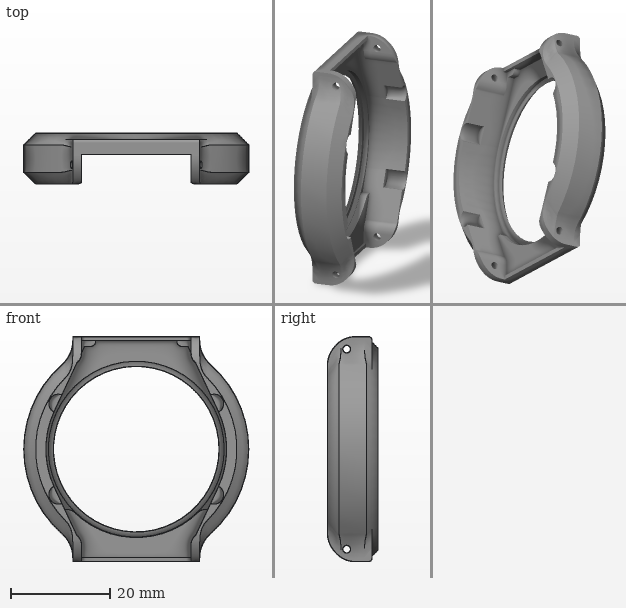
import cadquery as cq
import math


CASE_RADIUS = 22.73
CASE_DEPTH = 10.29
CASE_CHAMFER = 2.4
CHAMFER_ANGLE = 45

LUG_OUTER_X = 12.82
LUG_INNER_X = 11.05
LUG_BACK_DEPTH = 1.23
LUG_END_Z = CASE_RADIUS
LUG_BACK_ROUND = 0.75
LUG_TIP_ROUND = 5.1
LUG_FRONT_ROUND = 5.85
LUG_FRONT_END_Z = 16.8
LUG_RIM_FILLET = 6.5
LUG_CHAMFER_FILLET = 2.65
PIN_HOLE_DIAMETER = 1.5
PIN_HOLE_DEPTH = 6.37
PIN_HOLE_Z = 20.2

WINDOW_DIAMETER = 33.4
GLASS_DIAMETER = 35.5
GLASS_SEAT_DEPTH = 1.1
WINDOW_BACK_CHAMFER = 0.95

CAVITY_RADIUS = 18.25
WALL_ANGLE = math.radians(25.1)
LUG_ROOT_Z = 19.4
LUG_ROOT_RADIUS = 2.65
LUG_ROOT_BLEND = 0.8
FLOOR_DEPTH = 3.5
TOP_LIP_DEPTH = 4.35
BOTTOM_LIP_DEPTH = 3.95
LIP_INNER_Z = 21.9

POCKET_FLOOR_DEPTH = 2.05
POCKET_TOP_Z = 20.75
POCKET_TOP_HALF_WIDTH = 8.2
POCKET_TOP_ROUND = 1.0
POCKET_BOTTOM_Z = -12.2
POCKET_BOTTOM_RADIUS = 17.85
POCKET_BOTTOM_ROUND = 2.0

NOTCH_RADIUS = 1.9
NOTCH_X = 15.75
NOTCH_Z = 9.2
NOTCH_FLOOR_DEPTH = 6.2

CLEARANCE = 5.0
SLAB_LENGTH = 5 * CASE_RADIUS


def plane_at(depth):
    """Workplane at a depth, with local x = X, local y = Z and normal -Y."""
    return cq.Workplane("XZ", origin=(0, -depth, 0))


def wall_x(z):
    """Half width between the slanted walls, which are tangent to the round cavity."""
    return (CAVITY_RADIUS - z * math.sin(WALL_ANGLE)) / math.cos(WALL_ANGLE)


def lug_side_profile():
    """Side outline that rounds the lug ends, extruded along X."""
    diagonal = math.sqrt(0.5)
    front_y = -CASE_DEPTH
    slope_front = (
        front_y + LUG_FRONT_ROUND * (1 - diagonal),
        LUG_FRONT_END_Z + LUG_FRONT_ROUND * diagonal,
    )
    slope_tip_z = LUG_END_Z - LUG_TIP_ROUND * (1 - diagonal)
    slope_tip = (slope_front[0] + slope_tip_z - slope_front[1], slope_tip_z)
    tip_start = (slope_tip[0] + LUG_TIP_ROUND * diagonal, LUG_END_Z)
    front_middle = (
        front_y + LUG_FRONT_ROUND * (1 - math.cos(math.pi / 8)),
        LUG_FRONT_END_Z + LUG_FRONT_ROUND * math.sin(math.pi / 8),
    )
    tip_middle = (
        tip_start[0] - LUG_TIP_ROUND * math.sin(math.pi / 8),
        LUG_END_Z - LUG_TIP_ROUND * (1 - math.cos(math.pi / 8)),
    )
    half = (
        cq.Workplane("YZ", origin=(-2 * CASE_RADIUS, 0, 0))
        .moveTo(-LUG_BACK_DEPTH, 0)
        .lineTo(-LUG_BACK_DEPTH, LUG_END_Z)
        .lineTo(*tip_start)
        .threePointArc(tip_middle, slope_tip)
        .lineTo(*slope_front)
        .threePointArc(front_middle, (front_y, LUG_FRONT_END_Z))
        .lineTo(front_y, 0)
        .close()
        .extrude(4 * CASE_RADIUS)
        .edges("|X and >Y and >Z")
        .fillet(LUG_BACK_ROUND)
    )
    return half.union(half.mirror("XY"))


def blend_with_slab(round_body, fillet_radius):
    """Join a round body to the lug slab and fillet the four corners between them."""
    slab = plane_at(LUG_BACK_DEPTH).rect(2 * LUG_OUTER_X, SLAB_LENGTH).extrude(CASE_DEPTH - LUG_BACK_DEPTH)
    joined = slab.union(round_body)
    middle = cq.selectors.BoxSelector(
        (-LUG_OUTER_X - CLEARANCE, -LUG_BACK_DEPTH - 0.1, -SLAB_LENGTH / 2 + 0.1),
        (LUG_OUTER_X + CLEARANCE, -CASE_DEPTH + 0.1, SLAB_LENGTH / 2 - 0.1),
    )
    side_faces = joined.faces("|X").edges(middle)
    return side_faces.fillet(fillet_radius)


def case_with_lugs():
    """Chamfered disc and lugs, blended along the rim and along each chamfer."""
    blend_depth = CASE_DEPTH - LUG_BACK_DEPTH
    rim = plane_at(LUG_BACK_DEPTH).circle(CASE_RADIUS).extrude(blend_depth)
    face_radius = CASE_RADIUS - CASE_CHAMFER
    back_cone = (
        plane_at(LUG_BACK_DEPTH)
        .circle(face_radius + LUG_BACK_DEPTH)
        .extrude(blend_depth, taper=-CHAMFER_ANGLE)
    )
    front_cone = (
        plane_at(LUG_BACK_DEPTH)
        .circle(face_radius + blend_depth)
        .extrude(blend_depth, taper=CHAMFER_ANGLE)
    )
    blended = blend_with_slab(rim, LUG_RIM_FILLET)
    for cone in (back_cone, front_cone):
        blended = blended.intersect(blend_with_slab(cone, LUG_CHAMFER_FILLET))
    back_layer = (
        plane_at(0).circle(face_radius).extrude(LUG_BACK_DEPTH, taper=-CHAMFER_ANGLE)
    )
    return blended.intersect(lug_side_profile()).union(back_layer, clean=False)


def wall_region(depth, end_z):
    """Round middle with slanted tangent walls that run up and down to end_z."""
    tangent_x = CAVITY_RADIUS * math.cos(WALL_ANGLE)
    tangent_z = CAVITY_RADIUS * math.sin(WALL_ANGLE)
    end_x = wall_x(end_z)
    return (
        plane_at(depth)
        .moveTo(-end_x, end_z)
        .lineTo(end_x, end_z)
        .lineTo(tangent_x, tangent_z)
        .threePointArc((CAVITY_RADIUS, 0), (tangent_x, -tangent_z))
        .lineTo(end_x, -end_z)
        .lineTo(-end_x, -end_z)
        .lineTo(-tangent_x, -tangent_z)
        .threePointArc((-CAVITY_RADIUS, 0), (-tangent_x, tangent_z))
        .close()
        .extrude(CASE_DEPTH - depth)
    )


def lug_roots(depth):
    """Lug walls with rounded inner ends, standing proud of the slanted walls."""
    height = CASE_DEPTH - depth
    center_x = LUG_INNER_X + LUG_ROOT_RADIUS
    straight = LUG_END_Z - LUG_ROOT_Z
    sides = [(sx, sz) for sx in (-1, 1) for sz in (-1, 1)]
    round_centers = [(sx * center_x, sz * LUG_ROOT_Z) for sx, sz in sides]
    wall_centers = [(sx * center_x, sz * (LUG_ROOT_Z + straight)) for sx, sz in sides]
    rounds = plane_at(depth).pushPoints(round_centers).circle(LUG_ROOT_RADIUS).extrude(height)
    walls = plane_at(depth).pushPoints(wall_centers).rect(2 * LUG_ROOT_RADIUS, 2 * straight).extrude(height)
    return walls.union(rounds)


def cavity():
    """Full cavity, leaving a low lip along both straight ends."""
    corner_z = (CAVITY_RADIUS - LUG_INNER_X * math.cos(WALL_ANGLE)) / math.sin(WALL_ANGLE)
    depth = FLOOR_DEPTH
    strip = plane_at(depth).rect(2 * LUG_INNER_X, 2 * (LUG_END_Z + CLEARANCE)).extrude(CASE_DEPTH - depth)
    outline = wall_region(depth, corner_z).union(strip).cut(lug_roots(depth))
    root_lines = cq.selectors.BoxSelector(
        (-LUG_OUTER_X, 0, -LUG_ROOT_Z + 0.1), (LUG_OUTER_X, -CASE_DEPTH, LUG_ROOT_Z - 0.1)
    )
    outline = outline.edges("|Y").edges(root_lines).fillet(LUG_ROOT_BLEND)
    end_z = LUG_END_Z + CLEARANCE
    limits = plane_at(FLOOR_DEPTH).rect(2 * CASE_RADIUS, 2 * LIP_INNER_Z).extrude(CASE_DEPTH)
    for lip_depth, side_z in ((TOP_LIP_DEPTH, end_z), (BOTTOM_LIP_DEPTH, -end_z)):
        beyond_lip = (
            plane_at(lip_depth)
            .center(0, side_z / 2)
            .rect(2 * CASE_RADIUS, end_z)
            .extrude(CASE_DEPTH)
        )
        limits = limits.union(beyond_lip)
    return outline.intersect(limits)


def pocket():
    """Deeper floor area, with a notch at each upper corner and a round lower end."""
    height = FLOOR_DEPTH - POCKET_FLOOR_DEPTH
    start = plane_at(POCKET_FLOOR_DEPTH)
    upper_height = POCKET_TOP_Z - POCKET_BOTTOM_Z
    upper = wall_region(POCKET_FLOOR_DEPTH, POCKET_TOP_Z).intersect(
        start.center(0, POCKET_BOTTOM_Z + upper_height / 2)
        .rect(2 * CASE_RADIUS, upper_height)
        .extrude(height)
    )
    neck = (
        start.center(0, LIP_INNER_Z / 2)
        .rect(2 * POCKET_TOP_HALF_WIDTH, LIP_INNER_Z)
        .extrude(height)
    )
    lower = start.circle(POCKET_BOTTOM_RADIUS).extrude(height)
    shape = upper.union(neck).union(lower)
    neck_corners = cq.selectors.BoxSelector(
        (-POCKET_TOP_HALF_WIDTH - 0.1, 0, POCKET_TOP_Z - 0.1),
        (POCKET_TOP_HALF_WIDTH + 0.1, -CASE_DEPTH, POCKET_TOP_Z + 0.1),
    )
    bottom_x = math.sqrt(POCKET_BOTTOM_RADIUS**2 - POCKET_BOTTOM_Z**2)
    bottom_corners = cq.selectors.BoxSelector(
        (-bottom_x - 0.1, 0, POCKET_BOTTOM_Z - 0.1),
        (bottom_x + 0.1, -CASE_DEPTH, POCKET_BOTTOM_Z + 0.1),
    )
    shape = shape.edges("|Y").edges(neck_corners).fillet(POCKET_TOP_ROUND)
    return shape.edges("|Y").edges(bottom_corners).fillet(POCKET_BOTTOM_ROUND)


def window():
    """Window through the plate, with a glass seat in front and a bevel behind."""
    through = plane_at(0).circle(WINDOW_DIAMETER / 2).extrude(CASE_DEPTH)
    seat = plane_at(GLASS_SEAT_DEPTH).circle(GLASS_DIAMETER / 2).extrude(CASE_DEPTH)
    bevel = (
        plane_at(0)
        .circle(WINDOW_DIAMETER / 2 + WINDOW_BACK_CHAMFER)
        .extrude(WINDOW_BACK_CHAMFER, taper=CHAMFER_ANGLE)
    )
    return through.union(seat).union(bevel)


def wall_notches():
    """Four round notches cut into the cavity wall from the front."""
    centers = [(sx * NOTCH_X, sz * NOTCH_Z) for sx in (-1, 1) for sz in (-1, 1)]
    return plane_at(NOTCH_FLOOR_DEPTH).pushPoints(centers).circle(NOTCH_RADIUS).extrude(CASE_DEPTH)


def pin_holes():
    """Strap pin holes through both lugs at each end."""
    centers = [(-PIN_HOLE_DEPTH, sz * PIN_HOLE_Z) for sz in (-1, 1)]
    return (
        cq.Workplane("YZ", origin=(-CASE_RADIUS, 0, 0))
        .pushPoints(centers)
        .circle(PIN_HOLE_DIAMETER / 2)
        .extrude(2 * CASE_RADIUS)
    )


result = case_with_lugs()
for opening in (cavity(), pocket(), window(), wall_notches(), pin_holes()):
    result = result.cut(opening, clean=False)